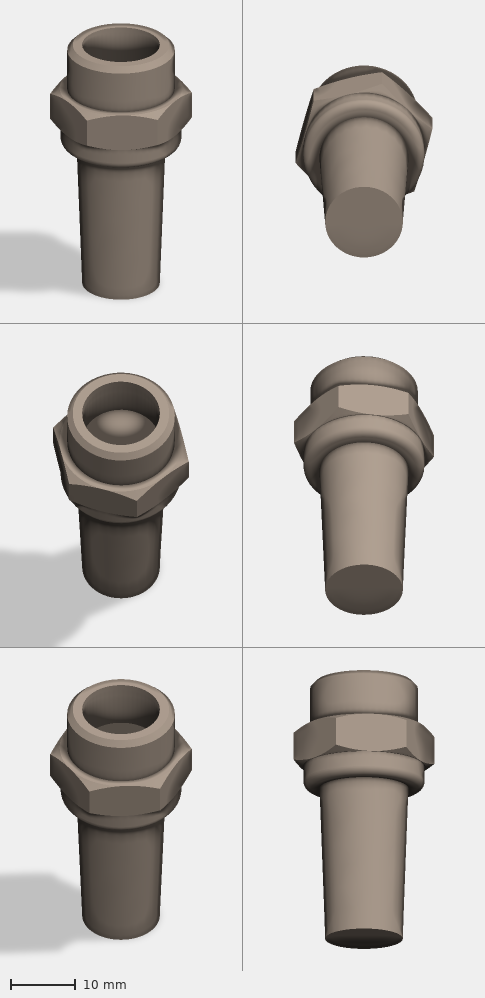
import cadquery as cq
import math

total_height = 41.0
collar_bottom = 24.03
hex_bottom = 27.5
hex_top = 33.5

thread_diameter = 16.65
thread_chamfer = 0.85
bore_diameter = 12.0

hex_across_flats = 19.0
hex_chamfer_angle = 30.0
collar_diameter = 18.7
collar_fillet = 1.1

stem_end_diameter = 12.0
stem_root_diameter = 13.78


def cylinder(diameter, bottom, top):
    return cq.Workplane("XY").workplane(offset=bottom).circle(diameter / 2).extrude(top - bottom)


def make_stem():
    return (
        cq.Workplane("XY")
        .circle(stem_end_diameter / 2)
        .workplane(offset=collar_bottom)
        .circle(stem_root_diameter / 2)
        .loft(ruled=True)
    )


def make_hexagon():
    """Hexagon with corners on the Y axis, its corners turned off conically at both ends."""
    corner_radius = hex_across_flats / math.sqrt(3)
    flat_radius = hex_across_flats / 2
    corner_drop = (corner_radius - flat_radius) * math.tan(math.radians(hex_chamfer_angle))
    prism = (
        cq.Workplane("XY")
        .workplane(offset=hex_bottom)
        .polygon(6, 2 * corner_radius)
        .extrude(hex_top - hex_bottom)
        .rotate((0, 0, 0), (0, 0, 1), 30)
    )
    turned_envelope = (
        cq.Workplane("XZ")
        .moveTo(0, hex_bottom)
        .lineTo(flat_radius, hex_bottom)
        .lineTo(corner_radius, hex_bottom + corner_drop)
        .lineTo(corner_radius, hex_top - corner_drop)
        .lineTo(flat_radius, hex_top)
        .lineTo(0, hex_top)
        .close()
        .revolve(360, (0, 0, 0), (0, 1, 0))
    )
    return prism.intersect(turned_envelope)


collar = cylinder(collar_diameter, collar_bottom, hex_bottom).faces("<Z").edges().fillet(collar_fillet)
threaded_end = cylinder(thread_diameter, hex_top, total_height).faces(">Z").edges().chamfer(thread_chamfer)
bore = cylinder(bore_diameter, hex_top, total_height)

result = make_stem().union(collar).union(make_hexagon()).union(threaded_end).cut(bore)